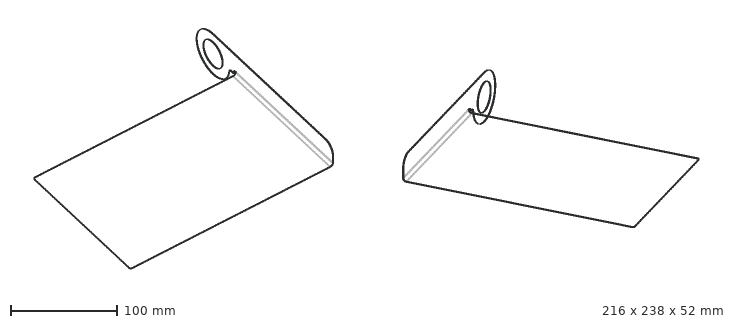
import cadquery as cq
import math

sheet_thickness = 1.2
inner_bend_radius = 2.6
outer_bend_radius = inner_bend_radius + sheet_thickness

ring_radius = 26.0
hole_diameter = 30.5
flange_reach = 190.0
flange_corner_radius = 12.0

plate_width = 154.0
plate_depth = 238.0
plate_corner_radius = 2.0
plate_left = flange_reach - plate_width
plate_underside = 0.0
bend_top = plate_underside + outer_bend_radius

relief_width = 2 * sheet_thickness
relief_left = plate_left - relief_width
ledge_height = plate_underside
ledge_corner_radius = 2.0
ring_fillet_radius = 2.0

diagonal = math.sqrt(0.5)


def make_flange():
    """Upright sheet in the XZ plane, its back face at Y = 0."""
    blend_z = ledge_height - ring_fillet_radius
    blend_x = math.sqrt((ring_radius + ring_fillet_radius) ** 2 - blend_z**2)
    touch_ratio = ring_radius / (ring_radius + ring_fillet_radius)
    ring_touch = (blend_x * touch_ratio, blend_z * touch_ratio)
    blend_middle = (
        blend_x - ring_fillet_radius * diagonal,
        blend_z + ring_fillet_radius * diagonal,
    )

    ledge_arc_x = relief_left - ledge_corner_radius
    ledge_arc_z = ledge_height + ledge_corner_radius
    ledge_middle = (
        ledge_arc_x + ledge_corner_radius * diagonal,
        ledge_arc_z - ledge_corner_radius * diagonal,
    )

    corner_x = flange_reach - flange_corner_radius
    corner_z = ring_radius - flange_corner_radius
    corner_middle = (
        corner_x + flange_corner_radius * diagonal,
        corner_z + flange_corner_radius * diagonal,
    )

    return (
        cq.Workplane("XZ")
        .moveTo(0, ring_radius)
        .lineTo(corner_x, ring_radius)
        .threePointArc(corner_middle, (flange_reach, corner_z))
        .lineTo(flange_reach, bend_top)
        .lineTo(relief_left, bend_top)
        .lineTo(relief_left, ledge_arc_z)
        .threePointArc(ledge_middle, (ledge_arc_x, ledge_height))
        .lineTo(blend_x, ledge_height)
        .threePointArc(blend_middle, ring_touch)
        .threePointArc((-ring_radius, 0), (0, ring_radius))
        .close()
        .extrude(sheet_thickness)
        .cut(cq.Workplane("XZ").circle(hole_diameter / 2).extrude(sheet_thickness))
    )


def make_bend():
    """Quarter-round bend from the foot of the flange to the back of the plate."""
    outer_middle = (
        -outer_bend_radius * (1 - diagonal),
        bend_top - outer_bend_radius * diagonal,
    )
    inner_middle = (
        -outer_bend_radius + inner_bend_radius * diagonal,
        bend_top - inner_bend_radius * diagonal,
    )
    return (
        cq.Workplane("YZ", origin=(plate_left, 0, 0))
        .moveTo(0, bend_top)
        .threePointArc(outer_middle, (-outer_bend_radius, plate_underside))
        .lineTo(-outer_bend_radius, plate_underside + sheet_thickness)
        .threePointArc(inner_middle, (-sheet_thickness, bend_top))
        .close()
        .extrude(plate_width)
    )


def make_plate():
    """Flat plate in front of the bend, with its two front corners rounded."""
    return (
        cq.Workplane("XY")
        .box(plate_width, plate_depth - outer_bend_radius, sheet_thickness, centered=False)
        .translate((plate_left, -plate_depth, plate_underside))
        .edges("|Z and <Y")
        .fillet(plate_corner_radius)
    )


result = make_flange().union(make_bend()).union(make_plate())